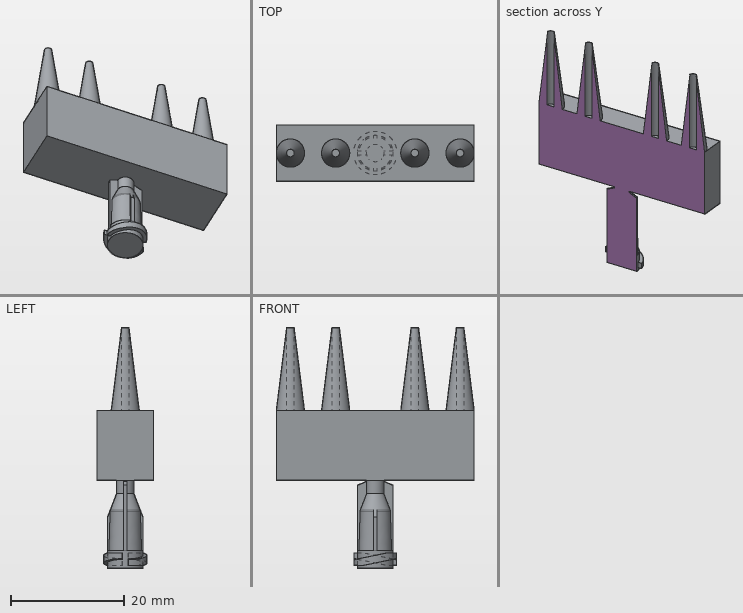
import cadquery as cq

full_turn = 360

block_length = 35.0
block_width = 10.0
block_height = 12.4

total_height = 42.54
connector_length = 15.54
nozzle_height = total_height - block_height - connector_length
nozzle_base_diameter = 5.0
nozzle_bore_diameter = 1.35
outer_nozzle_x = (block_length - nozzle_base_diameter) / 2
nozzle_spacing = 8.0
inner_nozzle_x = outer_nozzle_x - nozzle_spacing

neck_diameter = 3.1
shoulder_diameter = 5.3
body_top_diameter = 5.4
body_bottom_diameter = 5.81
collar_diameter = 6.3
neck_end_z = -2.34
shoulder_z = -5.18
body_top_z = -5.46
collar_z = -12.34
bottom_z = -connector_length

rib_thickness = 0.65
shoulder_slope = (neck_end_z - shoulder_z) / ((shoulder_diameter - neck_diameter) / 2)
x_rib_slope = 0.43
x_rib_start_z = -0.15

thread_diameter = 7.67
thread_bottom_z = bottom_z + 0.53
thread_top_z = bottom_z + 2.75
thread_mid_z = bottom_z + 1.63
thread_band_height = 1.35
thread_slope = 0.205
thread_end_angle = 9.0
thread_starts = 2


def make_block():
    return cq.Workplane("XY").box(block_length, block_width, block_height, centered=(True, True, False))


def make_nozzle(x):
    """Tapered nozzle with a straight bore down to the block, leaving a sharp rim at the tip."""
    bore_radius = nozzle_bore_diameter / 2
    wall = [
        (bore_radius, block_height),
        (nozzle_base_diameter / 2, block_height),
        (bore_radius, block_height + nozzle_height),
    ]
    nozzle = cq.Workplane("XZ").polyline(wall).close().revolve(full_turn, (0, 0), (0, 1))
    return nozzle.translate((x, 0, 0))


def make_connector_core():
    """Turned core: neck, conical shoulder, tapered body and collar."""
    profile = [
        (0, 0),
        (neck_diameter / 2, 0),
        (neck_diameter / 2, neck_end_z),
        (shoulder_diameter / 2, shoulder_z),
        (body_top_diameter / 2, body_top_z),
        (body_bottom_diameter / 2, collar_z),
        (collar_diameter / 2, collar_z),
        (collar_diameter / 2, bottom_z),
        (0, bottom_z),
    ]
    return cq.Workplane("XZ").polyline(profile).close().revolve(full_turn, (0, 0), (0, 1))


def make_rib_pair(along_x, start_z, slope):
    """Flat web across the core, trimmed to the collar diameter and to a cone leaving the neck at start_z."""
    neck_radius = neck_diameter / 2
    rib_radius = collar_diameter / 2
    corner_z = start_z - slope * (rib_radius - neck_radius)
    outline = [
        (0, collar_z),
        (rib_radius, collar_z),
        (rib_radius, corner_z),
        (neck_radius, start_z),
        (0, start_z),
    ]
    envelope = cq.Workplane("XZ").polyline(outline).close().revolve(full_turn, (0, 0), (0, 1))
    size_x, size_y = (collar_diameter, rib_thickness) if along_x else (rib_thickness, collar_diameter)
    web = cq.Workplane("XY").workplane(offset=collar_z).rect(size_x, size_y).extrude(start_z - collar_z)
    return envelope.intersect(web)


def make_thread_lug():
    """Nearly half a disc on the -Y side, limited by a slanted band that climbs toward +X."""
    radius = thread_diameter / 2
    disc_height = thread_top_z - thread_bottom_z
    sweep = full_turn / 2 - 2 * thread_end_angle
    disc = cq.Workplane(
        cq.Solid.makeCylinder(
            radius,
            disc_height,
            pnt=cq.Vector(0, 0, thread_bottom_z),
            angleDegrees=sweep,
        )
    ).rotate((0, 0, 0), (0, 0, 1), full_turn / 2 + thread_end_angle)
    rise = thread_slope * radius
    half_band = thread_band_height / 2
    band = [
        (-radius, thread_mid_z - rise - half_band),
        (radius, thread_mid_z + rise - half_band),
        (radius, thread_mid_z + rise + half_band),
        (-radius, thread_mid_z - rise + half_band),
    ]
    slanted = cq.Workplane("XZ").polyline(band).close().extrude(thread_diameter, both=True)
    return disc.intersect(slanted)


result = make_block().union(make_connector_core())
result = result.union(make_rib_pair(True, x_rib_start_z, x_rib_slope))
result = result.union(make_rib_pair(False, neck_end_z, shoulder_slope))

for nozzle_x in (-outer_nozzle_x, -inner_nozzle_x, inner_nozzle_x, outer_nozzle_x):
    result = result.union(make_nozzle(nozzle_x))

for start in range(thread_starts):
    lug = make_thread_lug().rotate((0, 0, 0), (0, 0, 1), start * full_turn / thread_starts)
    result = result.union(lug)